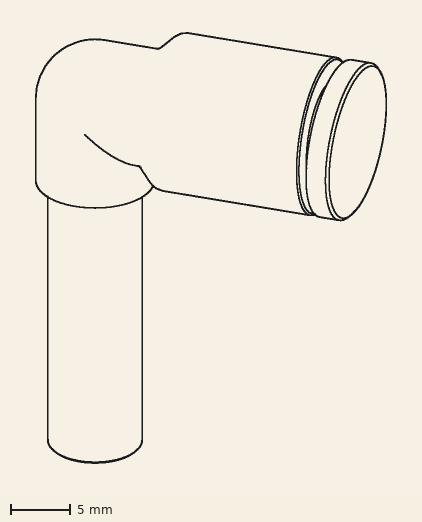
import cadquery as cq


elbow_radius = 5.03
elbow_bottom = -7.8
stem_radius = 4.0
stem_chamfer = 0.2
total_height = 39.6

body_radius = 6.77
body_end = 20.65
body_end_chamfer = 0.15
shoulder_start = 5.1
shoulder_blend_radius = 1.0

collar_neck_radius = 4.75
collar_start = 21.6
collar_end = 23.55
collar_width = 15.0
collar_height = 13.1
collar_chamfer = 0.25

shoulder_end = shoulder_start + body_radius - elbow_radius
stem_bottom = body_radius - total_height


def make_elbow():
    """Upright sleeve with a spherical outer corner."""
    sleeve = cq.Workplane("XY").circle(elbow_radius).extrude(elbow_bottom)
    corner = cq.Workplane("XY").sphere(elbow_radius)
    return sleeve.union(corner)


def make_stem():
    """Plug-in stem with a chamfered lower end."""
    stem = cq.Workplane("XY").circle(stem_radius).extrude(stem_bottom)
    return stem.faces("<Z").chamfer(stem_chamfer)


def make_socket():
    """Horizontal branch that widens through a blended shoulder into the body."""
    profile = [
        (0, 0),
        (0, elbow_radius),
        (shoulder_start, elbow_radius),
        (shoulder_end, body_radius),
        (body_end, body_radius),
        (body_end, 0),
    ]
    socket = cq.Workplane("XY").polyline(profile).close().revolve(360, (0, 0, 0), (1, 0, 0))
    socket = socket.faces("%CONE").edges("%CIRCLE").fillet(shoulder_blend_radius)
    return socket.faces(">X").chamfer(body_end_chamfer)


def make_collar():
    """Oval release collar on a round neck."""
    neck = cq.Workplane("YZ").circle(collar_neck_radius).extrude(collar_start)
    flange = (
        cq.Workplane("YZ", origin=(collar_start, 0, 0))
        .ellipse(collar_width / 2, collar_height / 2)
        .extrude(collar_end - collar_start)
        .faces(">X")
        .chamfer(collar_chamfer)
    )
    return neck.union(flange)


result = make_elbow().union(make_stem()).union(make_socket()).union(make_collar())